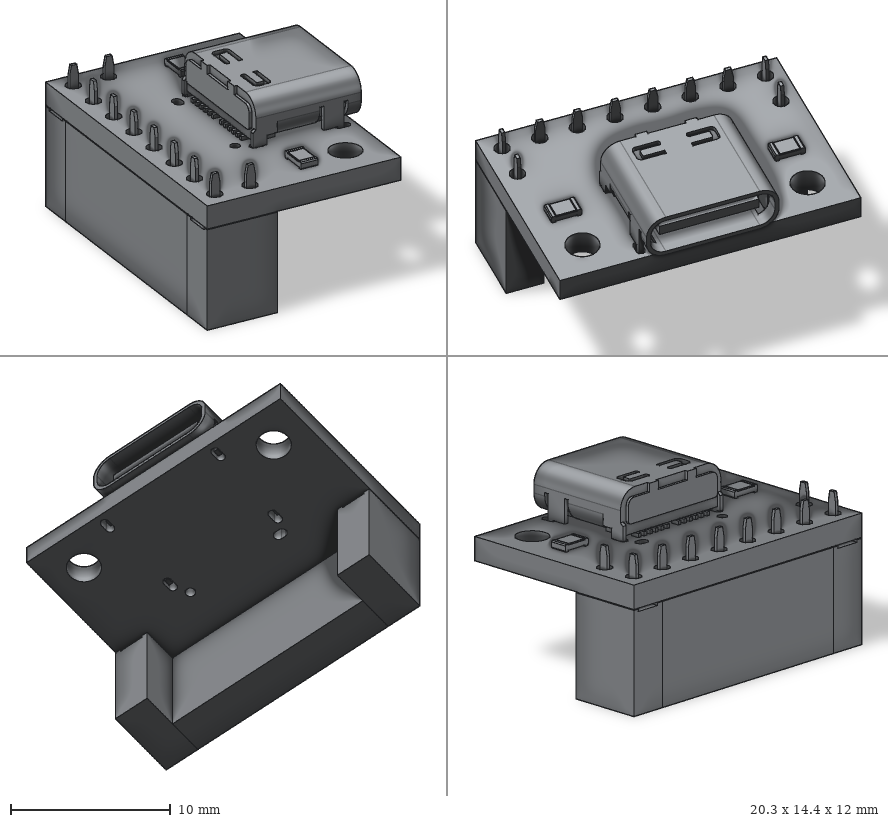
import cadquery as cq


BOARD_X = 20.32
BOARD_Y = 13.95
BOARD_Z = 1.6
MOUNT_HOLE_D = 2.2
MOUNT_HOLE_X = 7.6
MOUNT_HOLE_Y = 11.42
PIN_HOLE_D = 1.02
LOCATING_D = 0.65
LOCATING_X = 3.6
LOCATING_Y = 5.77
LOCATING_SLOT_LENGTH = 0.93

END_PINS = 2
MIDDLE_PINS = 6
FRONT_ROW_COUNT = MIDDLE_PINS + 2
PITCH = BOARD_X / FRONT_ROW_COUNT
ROW_Y = PITCH / 2
END_HEADER_X = (BOARD_X - PITCH) / 2
END_HEADER_Y = END_PINS * PITCH / 2
HEADER_GAP = 0.06
HEADER_Z = 7.0
CHANNEL_WIDTH = 1.69
CHANNEL_DEPTH = 0.16
PIN_WIDTH = 0.63
PIN_THICKNESS = 0.22
PIN_TOP = 1.46
PIN_TAPER_START = 0.81
PIN_TIP_WIDTH = 0.39
PIN_SHOULDER_WIDTH = 1.14
HEADER_TOP = -BOARD_Z - HEADER_GAP

RESISTOR_PLACES = [(-7.48, 8.25), (7.62, 8.25)]
RESISTOR_X = 2.05
RESISTOR_Y = 1.22
TERMINAL_X = 0.3
TERMINAL_Z = 0.5
TERMINAL_CHAMFER = 0.08
CERAMIC_GAP = 0.08
COATING_Z = 0.08
COATING_INSET = 0.05

MOUTH_Y = 14.37
SHELL_X = 8.95
SHELL_BOTTOM = 0.15
SHELL_TOP = 3.31
SHELL_RADIUS = 1.3
SHELL_WALL = 0.28
CURVED_END_Y = MOUTH_Y - 6.05
CAVITY_END_Y = MOUTH_Y - 5.36
SHELL_END_Y = MOUTH_Y - 7.6
PLUG_END_Y = MOUTH_Y - 7.8
TONGUE_X = 6.7
TONGUE_Z = 0.7
TONGUE_TIP_GAP = 0.6
HOUSING_BOTTOM = 0.26

PLUG_X = 7.92
PLUG_BOTTOM = 1.02
PLUG_TOP = 2.72
PLUG_TOP_RADIUS = 0.49
PLUG_BOTTOM_RADIUS = 0.2
TAB_X = 1.69
TAB_WIDTH = 0.8

FRONT_LEG_Y = MOUTH_Y - 2.7
FRONT_LEG_WIDTH = 1.46
SLIT_WIDTH = 0.28
SLIT_TOP = 1.67
SLIT_INNER_X = 3.45
REAR_LEG_WIDTH = 1.02
REAR_LEG_TOP = 1.22
REAR_SIDE_BOTTOM = 0.67
LEG_DEPTH = 1.22

LEG_SLOT_LENGTH = 1.1
LEG_SLOT_WIDTH = 0.57
FRONT_SLOT_X = 4.43
FRONT_SLOT_Y = MOUTH_Y - 1.35
REAR_SLOT_X = 4.2
REAR_SLOT_CLEARANCE = 0.08
REAR_SLOT_Y = PLUG_END_Y - REAR_SLOT_CLEARANCE + LEG_SLOT_LENGTH / 2
TAB_LENGTH = 0.45

SPRING_CENTER_X = 1.85
SPRING_X = 1.89
SPRING_Y = 1.24
SPRING_FRONT_Y = PLUG_END_Y + 1.1
SPRING_BAR = 0.43
SPRING_BACK_ARM = 0.28
SPRING_FRONT_ARM = 0.37
SPRING_RADIUS = 0.3
SPRING_INNER_RADIUS = 0.1
SPRING_END_RADIUS = 0.15
SELECT_MARGIN = 0.02

FOOT_PITCH = 0.5
FOOT_COUNT = 6
FOOT_WIDTH = 0.25
FOOT_LENGTH = 0.6
FOOT_OVERHANG = 0.08
FOOT_FRONT_Y = PLUG_END_Y - FOOT_OVERHANG

SIDES = (-1, 1)


def block(x_range, y_range, z_range):
    """Box between the given limits."""
    (x0, x1), (y0, y1), (z0, z1) = x_range, y_range, z_range
    return cq.Workplane().box(x1 - x0, y1 - y0, z1 - z0, centered=False).translate((x0, y0, z0))


def side_block(side, x_range, y_range, z_range):
    """Box given for the +X side, mirrored to the -X side when side is -1."""
    x0, x1 = sorted(side * x for x in x_range)
    return block((x0, x1), y_range, z_range)


def make_pin():
    """Flat pin with a tapered tip and a shoulder in the housing channel, thin along Y."""
    channel_floor = HEADER_TOP - CHANNEL_DEPTH
    half = PIN_WIDTH / 2
    half_tip = PIN_TIP_WIDTH / 2
    half_shoulder = PIN_SHOULDER_WIDTH / 2
    return (
        cq.Workplane("XZ")
        .moveTo(-half_shoulder, channel_floor)
        .lineTo(half_shoulder, channel_floor)
        .lineTo(half_shoulder, HEADER_TOP)
        .lineTo(half, HEADER_TOP)
        .lineTo(half, PIN_TAPER_START)
        .lineTo(half_tip, PIN_TOP)
        .lineTo(-half_tip, PIN_TOP)
        .lineTo(-half, PIN_TAPER_START)
        .lineTo(-half, HEADER_TOP)
        .lineTo(-half_shoulder, HEADER_TOP)
        .close()
        .extrude(PIN_THICKNESS / 2, both=True)
    )


def make_header(pin_count):
    """Header centred on the origin with its row of pins along X."""
    length = pin_count * PITCH
    half_length = length / 2
    half_width = PITCH / 2
    header = block(
        (-half_length, half_length), (-half_width, half_width), (HEADER_TOP - HEADER_Z, HEADER_TOP)
    )
    header = header.cut(
        block(
            (-half_length, half_length),
            (-CHANNEL_WIDTH / 2, CHANNEL_WIDTH / 2),
            (HEADER_TOP - CHANNEL_DEPTH, HEADER_TOP),
        )
    )
    for i in range(pin_count):
        header = header.union(make_pin().translate((-half_length + (i + 0.5) * PITCH, 0, 0)))
    return header


def make_board():
    board = block((-BOARD_X / 2, BOARD_X / 2), (0, BOARD_Y), (-BOARD_Z, 0))
    top = board.faces(">Z").workplane(origin=(0, 0, 0))

    pin_places = [(-END_HEADER_X + i * PITCH, ROW_Y) for i in range(FRONT_ROW_COUNT)]
    pin_places += [(side * END_HEADER_X, ROW_Y + PITCH) for side in SIDES]
    pin_holes = top.pushPoints(pin_places).circle(PIN_HOLE_D / 2).extrude(-BOARD_Z, combine=False)
    mount_places = [(side * MOUNT_HOLE_X, MOUNT_HOLE_Y) for side in SIDES]
    mount_holes = top.pushPoints(mount_places).circle(MOUNT_HOLE_D / 2).extrude(-BOARD_Z, combine=False)
    board = board.cut(pin_holes).cut(mount_holes)

    locating_slot = (
        top.center(-LOCATING_X, LOCATING_Y)
        .slot2D(LOCATING_SLOT_LENGTH, LOCATING_D)
        .extrude(-BOARD_Z, combine=False)
    )
    locating_hole = (
        top.center(LOCATING_X, LOCATING_Y).circle(LOCATING_D / 2).extrude(-BOARD_Z, combine=False)
    )
    board = board.cut(locating_slot).cut(locating_hole)

    for side in SIDES:
        for x, y in [(FRONT_SLOT_X, FRONT_SLOT_Y), (REAR_SLOT_X, REAR_SLOT_Y)]:
            leg_slot = (
                top.center(side * x, y)
                .slot2D(LEG_SLOT_LENGTH, LEG_SLOT_WIDTH, 90)
                .extrude(-BOARD_Z, combine=False)
            )
            board = board.cut(leg_slot)
    return board


def make_resistor():
    """Coated ceramic chip between two end terminals, resting on the board."""
    half_x = RESISTOR_X / 2
    half_y = RESISTOR_Y / 2
    ceramic_x = half_x - TERMINAL_X
    coating_x = ceramic_x - COATING_INSET
    coating_y = half_y - COATING_INSET
    ceramic_top = TERMINAL_Z - COATING_Z
    ceramic = block((-ceramic_x, ceramic_x), (-half_y, half_y), (CERAMIC_GAP, ceramic_top))
    coating = block((-coating_x, coating_x), (-coating_y, coating_y), (ceramic_top, TERMINAL_Z))
    resistor = ceramic.union(coating)
    for side in SIDES:
        terminal = side_block(side, (ceramic_x, half_x), (-half_y, half_y), (0, TERMINAL_Z))
        outer_face = ">X" if side > 0 else "<X"
        terminal = terminal.faces(outer_face).edges("|Y").chamfer(TERMINAL_CHAMFER)
        resistor = resistor.union(terminal)
    return resistor


def shell_prism(inset, y_range):
    """Rounded shell outline, shrunk by the inset and extruded along Y."""
    half_x = SHELL_X / 2 - inset
    prism = block((-half_x, half_x), y_range, (SHELL_BOTTOM + inset, SHELL_TOP - inset))
    return prism.edges("|Y").fillet(SHELL_RADIUS - inset)


def rear_block():
    """Straight-sided rear of the shell, filled by the contact housing."""
    half_x = SHELL_X / 2
    y_range = (SHELL_END_Y, CURVED_END_Y)
    sides = block((-half_x, half_x), y_range, (REAR_SIDE_BOTTOM, SHELL_TOP))
    sides = sides.edges("|Y and >Z").fillet(SHELL_RADIUS)
    inner_x = half_x - SHELL_WALL
    return sides.union(block((-inner_x, inner_x), y_range, (HOUSING_BOTTOM, REAR_LEG_TOP)))


def rear_plug():
    """Rear closing plate with two tabs bent over from the top of the shell."""
    y_range = (PLUG_END_Y, SHELL_END_Y)
    plug = block((-PLUG_X / 2, PLUG_X / 2), y_range, (PLUG_BOTTOM, PLUG_TOP))
    plug = plug.edges("|Y and >Z").fillet(PLUG_TOP_RADIUS)
    plug = plug.edges("|Y and <Z").fillet(PLUG_BOTTOM_RADIUS)
    for side in SIDES:
        x_range = (TAB_X - TAB_WIDTH / 2, TAB_X + TAB_WIDTH / 2)
        plug = plug.union(side_block(side, x_range, y_range, (PLUG_BOTTOM + PLUG_BOTTOM_RADIUS, SHELL_TOP)))
    return plug


def front_leg(side):
    """Flat leg hanging from the shell side, with a tab in the board slot."""
    wall = (SHELL_X / 2 - SHELL_WALL, SHELL_X / 2)
    back_y = FRONT_LEG_Y + FRONT_LEG_WIDTH
    leg = side_block(side, wall, (FRONT_LEG_Y, back_y), (0, SLIT_TOP))
    tab = side_block(side, wall, (back_y - TAB_LENGTH, back_y), (-LEG_DEPTH, 0))
    return leg.union(tab)


def rear_leg(side):
    """Leg at the rear corner, bevelled where it stands out behind the shell."""
    leg = (
        cq.Workplane("YZ")
        .moveTo(PLUG_END_Y, 0)
        .lineTo(PLUG_END_Y + REAR_LEG_WIDTH, 0)
        .lineTo(PLUG_END_Y + REAR_LEG_WIDTH, REAR_LEG_TOP)
        .lineTo(SHELL_END_Y, REAR_LEG_TOP)
        .lineTo(PLUG_END_Y, PLUG_BOTTOM)
        .close()
        .extrude(SHELL_WALL / 2, both=True)
    )
    leg = leg.translate((side * (SHELL_X - SHELL_WALL) / 2, 0, 0))
    tab_range = (REAR_SLOT_Y - TAB_LENGTH / 2, REAR_SLOT_Y + TAB_LENGTH / 2)
    return leg.union(side_block(side, (SHELL_X / 2 - SHELL_WALL, SHELL_X / 2), tab_range, (-LEG_DEPTH, 0)))


def spring_cut(side):
    """C-shaped cut through the shell wall, with its front arm rounded at the end."""
    outer_x = SPRING_CENTER_X + SPRING_X / 2
    inner_x = SPRING_CENTER_X - SPRING_X / 2
    back_y = SPRING_FRONT_Y + SPRING_Y
    depth = (SHELL_TOP - SHELL_WALL, SHELL_TOP)
    cut = side_block(side, (inner_x, outer_x), (SPRING_FRONT_Y, back_y), depth)
    outer_edges = "|Z and >X" if side > 0 else "|Z and <X"
    cut = cut.edges(outer_edges).fillet(SPRING_RADIUS)
    tongue = side_block(
        side,
        (inner_x, outer_x - SPRING_BAR),
        (SPRING_FRONT_Y + SPRING_FRONT_ARM, back_y - SPRING_BACK_ARM),
        depth,
    )
    cut = cut.cut(tongue.edges(outer_edges).fillet(SPRING_INNER_RADIUS))
    front_arm_end = cq.selectors.BoxSelector(
        (side * inner_x - SELECT_MARGIN, SPRING_FRONT_Y - SELECT_MARGIN, 0),
        (side * inner_x + SELECT_MARGIN, SPRING_FRONT_Y + SPRING_FRONT_ARM + SELECT_MARGIN, SHELL_TOP),
    )
    return cut.edges("|Z").edges(front_arm_end).fillet(SPRING_END_RADIUS)


def make_receptacle():
    shell = shell_prism(0, (CURVED_END_Y, MOUTH_Y))
    shell = shell.cut(shell_prism(SHELL_WALL, (CAVITY_END_Y, MOUTH_Y)))
    shell = shell.union(rear_block()).union(rear_plug())

    tongue_middle = (SHELL_BOTTOM + SHELL_TOP) / 2
    tongue = block(
        (-TONGUE_X / 2, TONGUE_X / 2),
        (CAVITY_END_Y, MOUTH_Y - TONGUE_TIP_GAP),
        (tongue_middle - TONGUE_Z / 2, tongue_middle + TONGUE_Z / 2),
    )
    shell = shell.union(tongue)

    slit_range = (FRONT_LEG_Y - SLIT_WIDTH, FRONT_LEG_Y + FRONT_LEG_WIDTH + SLIT_WIDTH)
    for side in SIDES:
        shell = shell.cut(side_block(side, (SLIT_INNER_X, SHELL_X / 2), slit_range, (0, SLIT_TOP)))
        shell = shell.union(front_leg(side)).union(rear_leg(side)).cut(spring_cut(side))

        for i in range(1, FOOT_COUNT + 1):
            foot_x = i * FOOT_PITCH
            foot = side_block(
                side,
                (foot_x - FOOT_WIDTH / 2, foot_x + FOOT_WIDTH / 2),
                (FOOT_FRONT_Y, FOOT_FRONT_Y + FOOT_LENGTH),
                (0, HOUSING_BOTTOM),
            )
            shell = shell.union(foot)
    return shell


board = make_board()
receptacle = make_receptacle()
resistors = [make_resistor().translate((x, y, 0)) for x, y in RESISTOR_PLACES]
middle_header = make_header(MIDDLE_PINS).translate((0, ROW_Y, 0))
end_header = make_header(END_PINS).rotate((0, 0, 0), (0, 0, 1), 90)
end_headers = [
    end_header.translate((side * END_HEADER_X, END_HEADER_Y, 0))
    for side in SIDES
]

result = cq.Compound.makeCompound(
    [
        board.val(),
        receptacle.val(),
        *[resistor.val() for resistor in resistors],
        middle_header.val(),
        *[header.val() for header in end_headers],
    ]
)